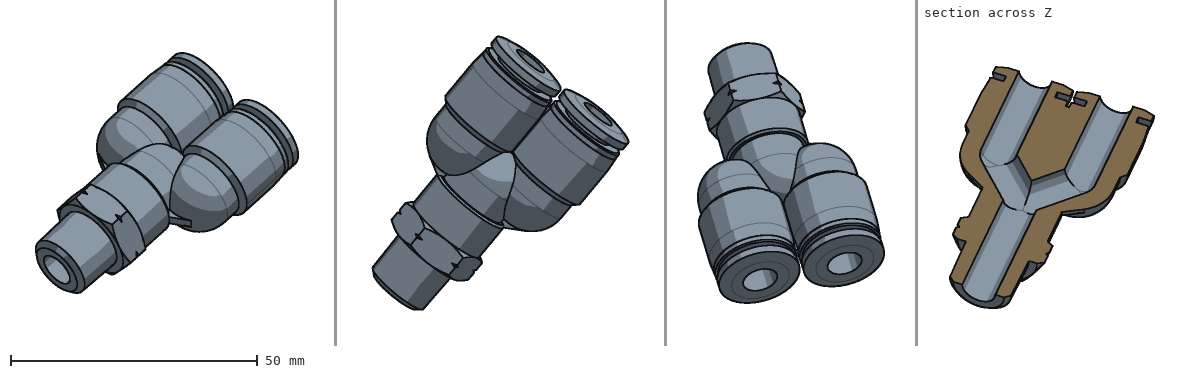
import cadquery as cq
import math

total_length = 54.7

port_radius = 8.8
port_offset = port_radius
dome_radius = 7.65
dome_center_y = 33.35
shoulder_bottom_y = 36.85
shoulder_height = port_radius - dome_radius
taper_bottom_y = 46.9
taper_top_y = 49.9
taper_top_radius = 8.55

cap_radius = 8.5
cap_top_y = 51.2
cap_chamfer_height = 0.2
cap_chamfer_width = 0.45
collar_stem_radius = 5.65
flange_radius = 8.4
flange_bottom_y = 52.45
flange_rim_y = 54.05
flange_face_radius = 6.0

thread_end_radius = 6.7
thread_root_radius = 6.9
thread_chamfer_height = 1.0
thread_chamfer_width = 1.15
hex_bottom_y = 10.45
hex_height = 6.1
hex_top_y = hex_bottom_y + hex_height
hex_half_width = 8.65
hex_corner_radius = hex_half_width / math.cos(math.pi / 6)
hex_chamfer_angle = math.radians(30)
groove_root_radius = 9.45
groove_half_width = 0.35
body_radius = 8.65
body_top_y = 24.95
body_chamfer = 0.5
neck_radius = 7.55
neck_dome_center_y = 30.1

web_thickness = 2.2

bore_radius = 3.55
split_y = dome_center_y - port_offset


def turned(profile):
    """Turn a closed (radius, y) outline about the Y axis."""
    return cq.Workplane("XY").polyline(profile).close().revolve(360, (0, 0, 0), (0, 1, 0))


def rod(radius, start, end):
    """Round bar between two points."""
    start, end = cq.Vector(*start), cq.Vector(*end)
    axis = end - start
    return cq.Workplane(cq.Solid.makeCylinder(radius, axis.Length, start, axis))


def ball(radius, x, y):
    """Sphere with its poles on a line parallel to Y."""
    half_disc = cq.Workplane("XY").moveTo(0, -radius).threePointArc((radius, 0), (0, radius)).close()
    return half_disc.revolve(360, (0, 0, 0), (0, 1, 0)).translate((x, y, 0))


def make_port(x):
    """Domed port with its sleeve, end cap and release collar."""
    barrel = turned([
        (0, dome_center_y),
        (dome_radius, dome_center_y),
        (dome_radius, shoulder_bottom_y),
        (port_radius, shoulder_bottom_y + shoulder_height),
        (port_radius, taper_bottom_y),
        (taper_top_radius, taper_top_y),
        (cap_radius, taper_top_y),
        (cap_radius, cap_top_y - cap_chamfer_height),
        (cap_radius - cap_chamfer_width, cap_top_y),
        (collar_stem_radius, cap_top_y),
        (collar_stem_radius, flange_bottom_y),
        (flange_radius, flange_bottom_y),
        (flange_radius, flange_rim_y),
        (flange_face_radius, total_length),
        (0, total_length),
    ])
    return barrel.translate((x, 0, 0)).union(ball(dome_radius, x, dome_center_y))


def make_stem():
    """Tapered thread, cylindrical body and the domed neck between the ports."""
    stem = turned([
        (0, 0),
        (thread_end_radius - thread_chamfer_width, 0),
        (thread_end_radius, thread_chamfer_height),
        (thread_root_radius, hex_bottom_y),
        (body_radius, hex_bottom_y),
        (body_radius, body_top_y - body_chamfer),
        (body_radius - body_chamfer, body_top_y),
        (neck_radius, body_top_y),
        (neck_radius, neck_dome_center_y),
        (0, neck_dome_center_y),
    ])
    return stem.union(ball(neck_radius, 0, neck_dome_center_y))


def make_hexagon():
    """Wrench hexagon with chamfered corners and a V-groove around its mid-height."""
    middle_y = hex_bottom_y + hex_height / 2
    drop = (hex_corner_radius - hex_half_width) * math.tan(hex_chamfer_angle)
    envelope = turned([
        (0, hex_bottom_y),
        (hex_half_width, hex_bottom_y),
        (hex_corner_radius, hex_bottom_y + drop),
        (hex_corner_radius, middle_y - groove_half_width),
        (groove_root_radius, middle_y),
        (hex_corner_radius, middle_y + groove_half_width),
        (hex_corner_radius, hex_top_y - drop),
        (hex_half_width, hex_top_y),
        (0, hex_top_y),
    ])
    prism = (
        cq.Workplane("XZ", origin=(0, hex_top_y, 0))
        .polygon(6, 2 * hex_corner_radius)
        .extrude(hex_height)
    )
    return prism.intersect(envelope)


def make_web():
    """Web between the ports, running from the body tangent to both domes."""
    start_x, start_y = body_radius, body_top_y - body_chamfer
    to_start_x, to_start_y = start_x - port_offset, start_y - dome_center_y
    reach = math.hypot(to_start_x, to_start_y)
    tangent_angle = math.atan2(to_start_y, to_start_x) + math.acos(dome_radius / reach)
    tangent_x = port_offset + dome_radius * math.cos(tangent_angle)
    tangent_y = dome_center_y + dome_radius * math.sin(tangent_angle)
    return (
        cq.Workplane("XY")
        .moveTo(-start_x, start_y)
        .lineTo(start_x, start_y)
        .lineTo(tangent_x, tangent_y)
        .lineTo(port_offset, dome_center_y)
        .lineTo(port_offset, taper_top_y)
        .lineTo(-port_offset, taper_top_y)
        .lineTo(-port_offset, dome_center_y)
        .lineTo(-tangent_x, tangent_y)
        .close()
        .extrude(web_thickness / 2, both=True)
    )


def make_passages():
    """Inlet bore, sloping branches and port bores, with ball-shaped bends."""
    split = (0, split_y, 0)
    passages = rod(bore_radius, (0, 0, 0), split).union(ball(bore_radius, 0, split_y))
    for side in (-1, 1):
        x = side * port_offset
        bend = (x, dome_center_y, 0)
        passages = (
            passages
            .union(rod(bore_radius, split, bend))
            .union(ball(bore_radius, x, dome_center_y))
            .union(rod(bore_radius, bend, (x, total_length, 0)))
        )
    return passages


result = make_stem().union(make_hexagon()).union(make_web())
for side in (-1, 1):
    result = result.union(make_port(side * port_offset))
result = result.cut(make_passages()).solids()